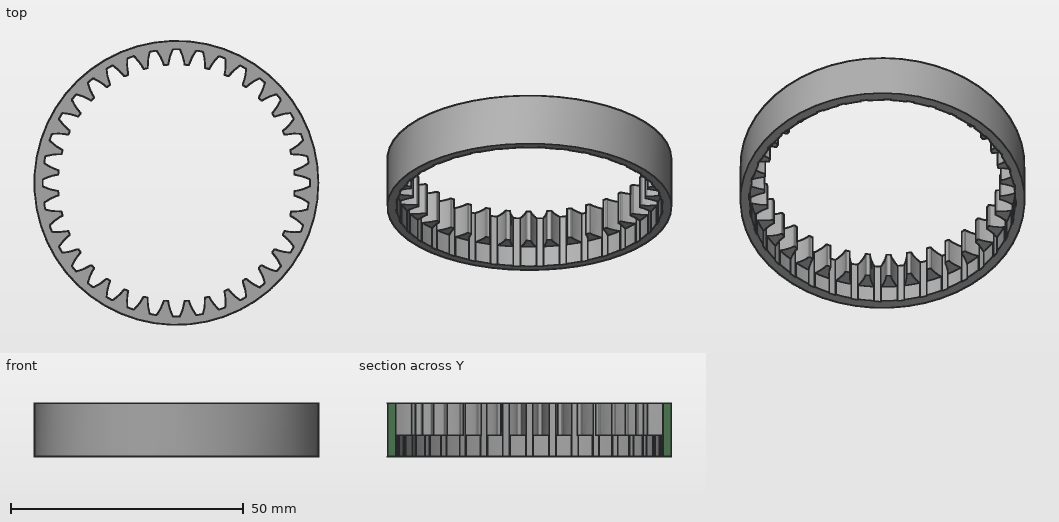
import cadquery as cq
import math

outer_diameter = 61.0
ring_height = 11.5
recess_radius = 28.5
recess_height = 4.6
tooth_count = 36
pitch_radius = 26.95
root_radius = 28.7
tip_radius = 25.4
tip_fillet = 0.2
pressure_angle = math.radians(20.0)
backlash = 0.5
flank_points = 6

base_radius = pitch_radius * math.cos(pressure_angle)
tooth_pitch = 2.0 * math.pi / tooth_count
half_space_at_pitch = tooth_pitch / 4.0 + backlash / (2.0 * pitch_radius)


def involute(angle):
    return math.tan(angle) - angle


def half_space_angle(radius):
    """Half the angle that a tooth space spans at a radius outside the base circle."""
    roll_angle = math.acos(base_radius / radius)
    return half_space_at_pitch + involute(pressure_angle) - involute(roll_angle)


def polar(radius, angle):
    return (radius * math.cos(angle), radius * math.sin(angle))


def flank(centre, side):
    """Points of one involute flank, from the tooth tip out to the root circle."""
    step = (root_radius - tip_radius) / (flank_points - 1)
    radii = [tip_radius + i * step for i in range(flank_points)]
    return [polar(radius, centre + side * half_space_angle(radius)) for radius in radii]


def is_tip_corner(edge):
    """True for the vertical edges where a flank meets a tooth tip."""
    centre = edge.Center()
    return math.isclose(math.hypot(centre.x, centre.y), tip_radius, abs_tol=0.005)


def toothed_opening():
    """Solid of the toothed bore: one tooth space and one tooth tip per pitch."""
    outline = cq.Workplane("XY").moveTo(*flank(0.0, -1)[0])
    for i in range(tooth_count):
        centre = i * tooth_pitch
        tip_to_root = flank(centre, -1)
        root_to_tip = flank(centre, 1)[::-1]
        tip_middle = polar(tip_radius, centre + tooth_pitch / 2.0)
        next_flank_start = flank(centre + tooth_pitch, -1)[0]
        outline = (
            outline.spline(tip_to_root[1:], includeCurrent=True)
            .threePointArc(polar(root_radius, centre), root_to_tip[0])
            .spline(root_to_tip[1:], includeCurrent=True)
            .threePointArc(tip_middle, next_flank_start)
        )
    opening = outline.close().extrude(ring_height)
    tip_corners = opening.edges("|Z").filter(is_tip_corner)
    return opening.newObject(tip_corners.vals()).fillet(tip_fillet)


blank = cq.Workplane("XY").circle(outer_diameter / 2.0).extrude(ring_height)
recess = cq.Workplane("XY").circle(recess_radius).extrude(recess_height)
result = blank.cut(toothed_opening()).cut(recess)